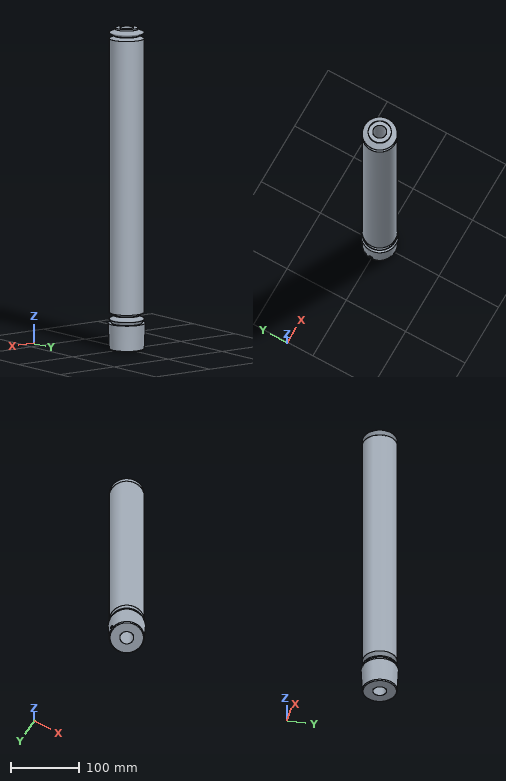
import cadquery as cq

length = 481.0
tube_diameter = 52.0
bore_diameter = 20.0

groove_diameter = 37.5
groove_floor_width = 1.0
groove_half_width = 4.5
upper_groove_z = 469.0
lower_groove_z = 51.0

bead_band = 2.5
bead_bevel = 4.0
bead_rounding = 1.0
tip_diameter = 34.0
tip_height = 2.5

cup_height = 39.5
cup_rim_diameter = 55.5
cup_base_diameter = 52.0
cup_base_chamfer = 1.5
cup_neck_diameter = 45.0

side_hole_diameter = 5.0
side_hole_z = 8.0
side_hole_depth = 7.0

tube_radius = tube_diameter / 2
groove_radius = groove_diameter / 2
tip_radius = tip_diameter / 2
bore_radius = bore_diameter / 2


def make_turned_body():
    """Revolve the outer profile around Z, leaving the through bore open."""
    tip_z = length - tip_height
    upper_bead_top_z = tip_z - bead_bevel
    lower_bead_top_z = lower_groove_z - groove_half_width
    outline = (
        cq.Workplane("XZ")
        .moveTo(bore_radius, 0)
        .lineTo(cup_base_diameter / 2 - cup_base_chamfer, 0)
        .lineTo(cup_base_diameter / 2, cup_base_chamfer)
        .lineTo(cup_rim_diameter / 2, cup_height)
        .lineTo(cup_neck_diameter / 2, cup_height)
        .lineTo(tube_radius - bead_rounding, lower_bead_top_z - bead_band)
        .threePointArc(
            (tube_radius, lower_bead_top_z - bead_band / 2),
            (tube_radius - bead_rounding, lower_bead_top_z),
        )
        .lineTo(groove_radius, lower_groove_z - groove_floor_width / 2)
        .lineTo(groove_radius, lower_groove_z + groove_floor_width / 2)
        .lineTo(tube_radius, lower_groove_z + groove_half_width)
        .lineTo(tube_radius, upper_groove_z - groove_half_width)
        .lineTo(groove_radius, upper_groove_z + groove_floor_width / 2)
        .lineTo(groove_radius, upper_groove_z - groove_floor_width / 2)
        .lineTo(tube_radius - bead_rounding, upper_bead_top_z - bead_band)
        .threePointArc(
            (tube_radius, upper_bead_top_z - bead_band / 2),
            (tube_radius - bead_rounding, upper_bead_top_z),
        )
        .lineTo(tip_radius, tip_z)
        .lineTo(tip_radius, length)
        .lineTo(bore_radius, length)
        .close()
    )
    return outline.revolve(360, (0, 0), (0, 1))


def make_side_hole():
    """Blind cylinder running inward from just outside the -X wall."""
    hole_end_x = side_hole_depth - cup_base_diameter / 2
    return (
        cq.Workplane("YZ", origin=(hole_end_x, 0, side_hole_z))
        .circle(side_hole_diameter / 2)
        .extrude(-cup_rim_diameter / 2)
    )


result = make_turned_body().cut(make_side_hole())